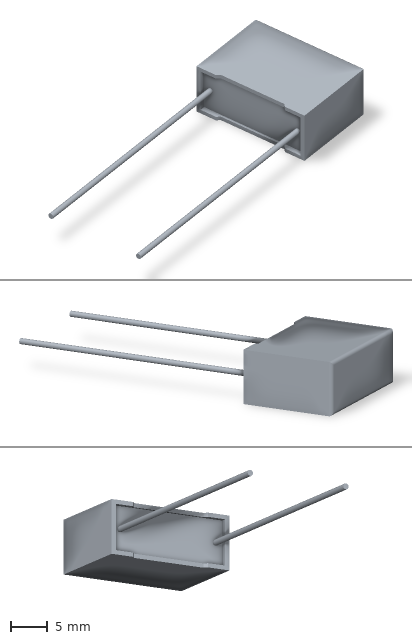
import cadquery as cq


case_width = 18.5
case_depth = 13.6
case_height = 7.71
side_wall = 0.7
face_wall = 0.6
back_wall = side_wall
back_edge_radius = 0.5

notch_depth = 0.45
notch_mouth_width = 11.8
notch_floor_width = notch_mouth_width - 2 * notch_depth

resin_recess = 0.8

lead_diameter = 0.84
lead_pitch = 15.0
lead_reach = 35.0

back_y = case_depth
resin_front_y = resin_recess
cavity_end_y = case_depth - back_wall
lead_tip_y = -lead_reach

cavity_width = case_width - 2 * side_wall
cavity_height = case_height - 2 * face_wall


def block_along_y(width, height, start_y, end_y):
    """Block centred on the Y axis that runs from start_y to end_y."""
    length = end_y - start_y
    return cq.Workplane("XY").box(width, length, height).translate((0, start_y + length / 2, 0))


def make_notch_cutter():
    """Trapezoid that opens at the rim and passes through both large faces."""
    half_mouth = notch_mouth_width / 2
    half_floor = notch_floor_width / 2
    outline = [
        (-half_mouth, 0),
        (-half_floor, notch_depth),
        (half_floor, notch_depth),
        (half_mouth, 0),
    ]
    return cq.Workplane("XY").polyline(outline).close().extrude(case_height, both=True)


def make_case():
    shell = block_along_y(case_width, case_height, 0, back_y)
    shell = shell.faces(">Y").edges().fillet(back_edge_radius)
    cavity = block_along_y(cavity_width, cavity_height, 0, cavity_end_y)
    return shell.cut(cavity).cut(make_notch_cutter())


def make_resin():
    return block_along_y(cavity_width, cavity_height, resin_front_y, cavity_end_y)


def make_lead(x):
    """Round wire from the resin surface to the lead tip."""
    lead_length = resin_front_y - lead_tip_y
    wire = cq.Workplane("XZ", origin=(x, resin_front_y, 0))
    return wire.circle(lead_diameter / 2).extrude(lead_length)


case = make_case()
resin = make_resin()
leads = [make_lead(side * lead_pitch / 2) for side in (-1, 1)]

result = cq.Compound.makeCompound([case.val(), resin.val(), *[lead.val() for lead in leads]])